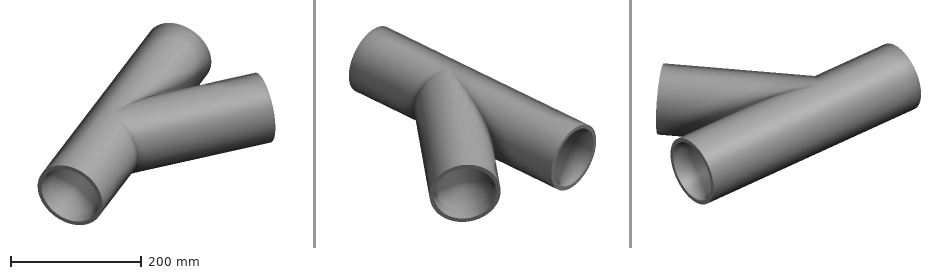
import cadquery as cq
import math

OUTER_DIAMETER = 110.0
BORE_DIAMETER = 96.8
RUN_LENGTH = 400.0
BRANCH_ANGLE = 45.0
BRANCH_LENGTH = 249.0
JUNCTION_OFFSET = 151.0

RUN_START = cq.Vector(0, 0, 0)
RUN_DIRECTION = cq.Vector(0, 1, 0)
JUNCTION = cq.Vector(0, JUNCTION_OFFSET, 0)
BRANCH_DIRECTION = cq.Vector(
    math.sin(math.radians(BRANCH_ANGLE)),
    math.cos(math.radians(BRANCH_ANGLE)),
    0,
)


def rod(diameter, length, start, direction):
    """Solid cylinder running from a start point along a direction."""
    return cq.Workplane(cq.Solid.makeCylinder(diameter / 2, length, start, direction))


def run_and_branch(diameter):
    """Run and branch cylinders of one diameter, joined at the junction."""
    run = rod(diameter, RUN_LENGTH, RUN_START, RUN_DIRECTION)
    branch = rod(diameter, BRANCH_LENGTH, JUNCTION, BRANCH_DIRECTION)
    return run.union(branch)


result = run_and_branch(OUTER_DIAMETER).cut(run_and_branch(BORE_DIAMETER))